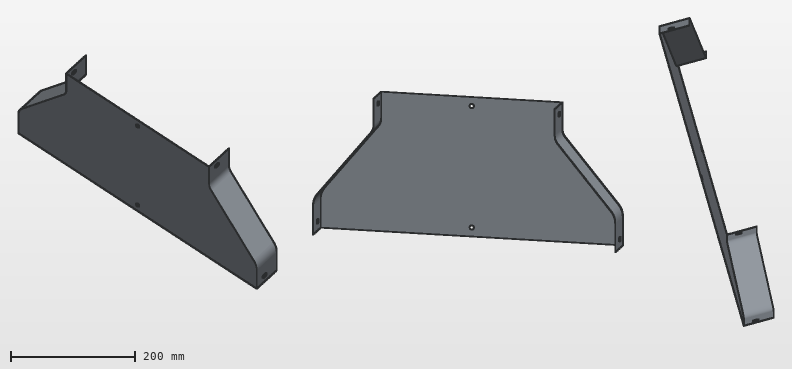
import cadquery as cq

base_width = 500.0
top_width = 300.0
height = 230.0
depth = 50.0
sheet = 0.8
lower_corner_height = 59.0
upper_corner_height = 179.0
outer_bend_radius = 30.0
inner_bend_radius = 20.0

hole_diameter = 7.0
hole_edge_offset = 15.0
slot_length = 10.0
slot_width = hole_diameter
slot_from_web = 20.0

hole_heights = (hole_edge_offset, height - hole_edge_offset)


def make_body():
    """Extrude the tapered outline with rounded shoulders."""
    half_base = base_width / 2
    half_top = top_width / 2
    body = (
        cq.Workplane("XZ")
        .polyline([
            (-half_base, 0),
            (half_base, 0),
            (half_base, lower_corner_height),
            (half_top, upper_corner_height),
            (half_top, height),
            (-half_top, height),
            (-half_top, upper_corner_height),
            (-half_base, lower_corner_height),
        ])
        .close()
        .extrude(-depth)
    )
    shoulders = (
        (half_base, lower_corner_height, outer_bend_radius),
        (half_top, upper_corner_height, inner_bend_radius),
    )
    for x, z, radius in shoulders:
        for side in (-1, 1):
            corner = cq.selectors.NearestToPointSelector((side * x, depth / 2, z))
            body = body.edges("|Y").edges(corner).fillet(radius)
    return body


def make_sheet_part():
    """Hollow the body, leaving the web and the two side flanges."""
    return make_body().faces(">Y or >Z or <Z").shell(-sheet)


def web_holes():
    """Round holes on the centreline of the web."""
    return (
        cq.Workplane("XZ")
        .pushPoints([(0, z) for z in hole_heights])
        .circle(hole_diameter / 2)
        .extrude(-sheet)
    )


def flange_slots():
    """Round-ended slots through both flanges near their ends."""
    return (
        cq.Workplane("YZ")
        .pushPoints([(slot_from_web, z) for z in hole_heights])
        .slot2D(slot_length, slot_width)
        .extrude(base_width / 2, both=True)
    )


result = make_sheet_part().cut(web_holes()).cut(flange_slots())